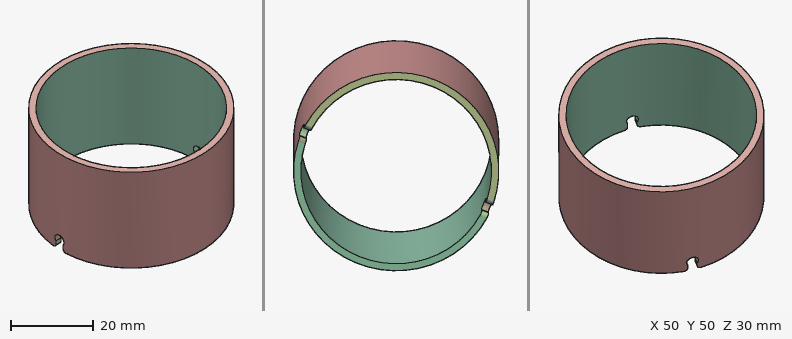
import cadquery as cq

outer_diameter = 50.0
wall = 1.8
height = 30.0

eye_diameter = 3.0
eye_height = 3.0
slot_width = 2.4
mouth_radius = 1.0


def make_sleeve():
    outer_radius = outer_diameter / 2
    return cq.Workplane("XY").circle(outer_radius).circle(outer_radius - wall).extrude(height)


def make_keyhole_cutter():
    half_slot = slot_width / 2
    half_mouth = half_slot + mouth_radius
    half_length = outer_diameter / 2
    slot = (
        cq.Workplane("XZ")
        .moveTo(-half_mouth, 0)
        .radiusArc((-half_slot, mouth_radius), -mouth_radius)
        .lineTo(-half_slot, eye_height)
        .lineTo(half_slot, eye_height)
        .lineTo(half_slot, mouth_radius)
        .radiusArc((half_mouth, 0), -mouth_radius)
        .close()
        .extrude(half_length, both=True)
    )
    eye = (
        cq.Workplane("XZ")
        .center(0, eye_height)
        .circle(eye_diameter / 2)
        .extrude(half_length, both=True)
    )
    return slot.union(eye)


result = make_sleeve().cut(make_keyhole_cutter())